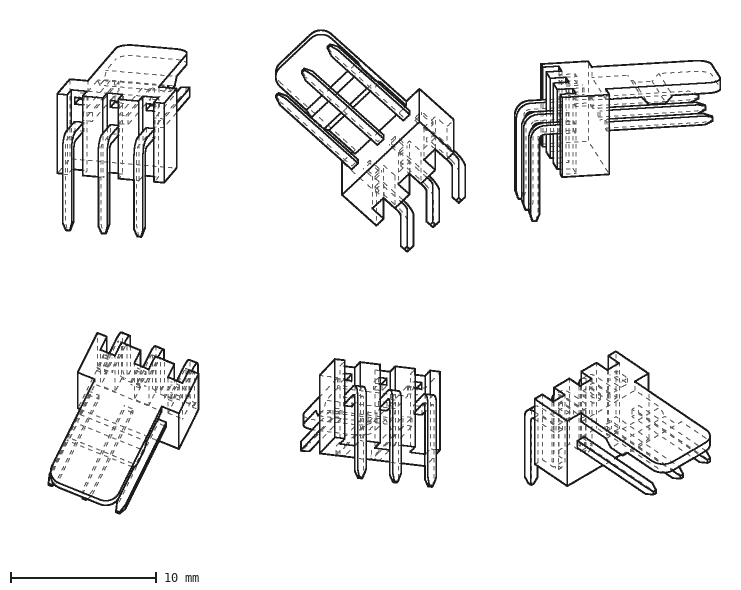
import cadquery as cq

total_length = 13.52
total_height = 9.2

pin_count = 3
pin_pitch = 2.54
pin_size = 0.64
pin_top = -2.27
pin_end_gap = 0.75
bend_outer_radius = 1.0
bend_inner_radius = bend_outer_radius - pin_size
tip_length = 0.58
tip_size = 0.27

body_width = pin_count * pin_pitch
body_front = 2.03
body_depth = 3.3
body_back = body_front + body_depth
body_height = 5.76

slot_width = 1.1
slot_depth = 1.1
slot_floor = body_front + slot_depth

recess_top = -0.53
recess_height = 0.49
recess_depth = slot_depth

tongue_width = 5.04
tongue_thickness = 0.76
tongue_corner_radius = 1.0
ridge_front = 7.84
ridge_base_length = 2.16
ridge_crest_length = 1.22
ridge_height = 0.53


def box(x_center, width, y_start, depth, z_top, height):
    """Block centred on x_center, running back from y_start and down from z_top."""
    return cq.Workplane("XY").box(width, depth, height, centered=(True, False, False)).translate(
        (x_center, y_start, z_top - height)
    )


def make_body():
    return box(0, body_width, body_front, body_depth, 0, body_height)


def make_tongue():
    tongue = box(0, tongue_width, body_back, total_length - body_back, 0, tongue_thickness)
    return tongue.edges("|Z and >Y").fillet(tongue_corner_radius)


def make_ridge():
    """Trapezoidal snap ridge across the full width of the tongue."""
    slope_run = (ridge_base_length - ridge_crest_length) / 2
    crest_start = ridge_front + slope_run
    crest_z = -tongue_thickness - ridge_height
    return (
        cq.Workplane("YZ")
        .moveTo(ridge_front, -tongue_thickness)
        .lineTo(crest_start, crest_z)
        .lineTo(crest_start + ridge_crest_length, crest_z)
        .lineTo(ridge_front + ridge_base_length, -tongue_thickness)
        .close()
        .extrude(tongue_width / 2, both=True)
    )


def make_tip(base_plane):
    """Square pyramid frustum that tapers from the pin section along the plane normal."""
    return (
        cq.Workplane(base_plane)
        .rect(pin_size, pin_size)
        .workplane(offset=tip_length)
        .rect(tip_size, tip_size)
        .loft(ruled=True)
    )


def make_pin():
    """Right-angle pin at X = 0: a contact arm along +Y and a solder leg down along -Z."""
    arm_end = total_length - pin_end_gap - tip_length
    leg_end = tip_length - total_height
    pin_bottom = pin_top - pin_size
    shank = (
        cq.Workplane("YZ")
        .moveTo(arm_end, pin_top)
        .lineTo(bend_outer_radius, pin_top)
        .radiusArc((0, pin_top - bend_outer_radius), -bend_outer_radius)
        .lineTo(0, leg_end)
        .lineTo(pin_size, leg_end)
        .lineTo(pin_size, pin_bottom - bend_inner_radius)
        .radiusArc((pin_size + bend_inner_radius, pin_bottom), bend_inner_radius)
        .lineTo(arm_end, pin_bottom)
        .close()
        .extrude(pin_size / 2, both=True)
    )
    arm_tip = make_tip(cq.Plane((0, arm_end, pin_top - pin_size / 2), (1, 0, 0), (0, 1, 0)))
    leg_tip = make_tip(cq.Plane((0, pin_size / 2, leg_end), (1, 0, 0), (0, 0, -1)))
    return shank.union(arm_tip).union(leg_tip)


pin_positions = [(index - (pin_count - 1) / 2) * pin_pitch for index in range(pin_count)]

result = make_body().union(make_tongue()).union(make_ridge())
pin = make_pin()
for pin_x in pin_positions:
    result = result.cut(box(pin_x, slot_width, body_front, slot_depth, 0, body_height))
    result = result.cut(box(pin_x, pin_size, slot_floor, recess_depth, recess_top, recess_height))
    result = result.union(pin.translate((pin_x, 0, 0)))